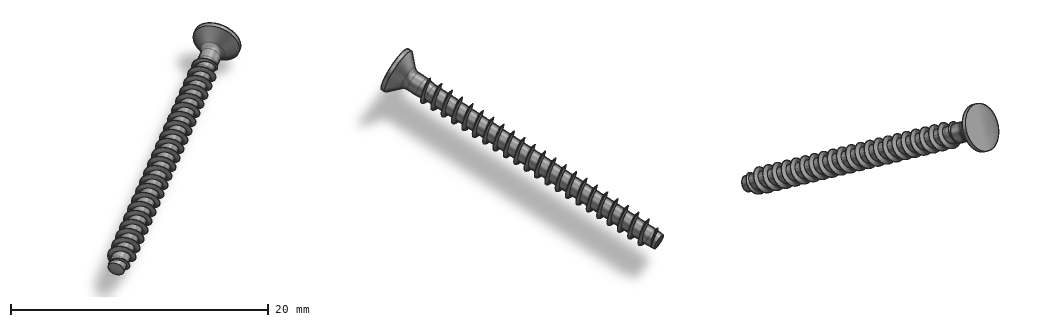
import cadquery as cq
import math

length = 25.0

head_radius = 1.9
head_rim_height = 0.35
cone_end_depth = 1.25
cone_angle = 45
shank_radius = 0.8
shank_end_depth = 2.52
cone_end_radius = head_radius - (cone_end_depth - head_rim_height) * math.tan(math.radians(cone_angle))
neck_fillet_radius = (cone_end_radius - shank_radius) / (1 - math.cos(math.radians(cone_angle)))
fillet_end_depth = cone_end_depth + neck_fillet_radius * math.sin(math.radians(cone_angle))

core_radius = 0.7
core_taper_length = 0.88
tip_radius = 0.65
tip_taper_length = 0.75

thread_radius = 1.08
crest_width = 0.02
root_width = 0.38
root_radius = 0.55
pitch_count = 20
pitch_count_length = 19.62
pitch = pitch_count_length / pitch_count
start_depth = 1.98
start_crest_radius = 0.68
end_crest_radius = 0.58
lead_in_turns = 1.3
full_turns = 21
run_out_turns = 1.2


def make_body():
    """Head, shank and tapered core as one turned profile around Y."""
    return (
        cq.Workplane("XY")
        .lineTo(head_radius, 0)
        .lineTo(head_radius, -head_rim_height)
        .lineTo(cone_end_radius, -cone_end_depth)
        .tangentArcPoint((shank_radius, -fillet_end_depth), relative=False)
        .lineTo(shank_radius, -shank_end_depth)
        .lineTo(core_radius, -shank_end_depth - core_taper_length)
        .lineTo(core_radius, -length + tip_taper_length)
        .lineTo(tip_radius, -length)
        .lineTo(0, -length)
        .close()
        .revolve(360, (0, 0), (0, 1))
    )


def make_helix(first_turn, turns, first_radius, last_radius, offset):
    """Helical edge around Z whose radius changes evenly over the given turns."""
    rise = turns * pitch
    if first_radius == last_radius:
        helix = cq.Wire.makeHelix(pitch, rise, first_radius)
    else:
        slope = math.atan2(last_radius - first_radius, rise)
        stretch = 1 / math.cos(slope)
        helix = cq.Wire.makeHelix(pitch * stretch, rise * stretch, first_radius, angle=math.degrees(slope))
    turned = helix.rotate(cq.Vector(0, 0, 0), cq.Vector(0, 0, 1), 360 * first_turn)
    return turned.translate(cq.Vector(0, 0, first_turn * pitch + offset))


def ridge_edges(first_turn, turns, start_crest, end_crest):
    """The four helical edges of one stretch of the trapezoidal ridge."""
    return [
        make_helix(first_turn, turns, root_radius, root_radius, -root_width / 2),
        make_helix(first_turn, turns, start_crest, end_crest, -crest_width / 2),
        make_helix(first_turn, turns, start_crest, end_crest, crest_width / 2),
        make_helix(first_turn, turns, root_radius, root_radius, root_width / 2),
    ]


def end_face(edges, position):
    """Flat face closing the ridge at the start (0) or end (1) of its edges."""
    corners = [edge.positionAt(position) for edge in edges]
    return cq.Face.makeFromWires(cq.Wire.makePolygon(corners, close=True))


def make_thread():
    """Ridge that rises out of the shank, runs at full height and sinks into the core at the tip."""
    stretches = [ridge_edges(0, lead_in_turns, start_crest_radius, thread_radius)]
    for turn in range(full_turns):
        stretches.append(ridge_edges(lead_in_turns + turn, 1, thread_radius, thread_radius))
    stretches.append(ridge_edges(lead_in_turns + full_turns, run_out_turns, thread_radius, end_crest_radius))
    faces = [end_face(stretches[0], 0), end_face(stretches[-1], 1)]
    for edges in stretches:
        for i in range(len(edges)):
            faces.append(cq.Face.makeRuledSurface(edges[i - 1], edges[i]))
    ridge = cq.Solid.makeSolid(cq.Shell.makeShell(faces))
    return (
        cq.Workplane(ridge)
        .rotate((0, 0, 0), (0, 0, 1), 90)
        .rotate((0, 0, 0), (1, 0, 0), 90)
        .translate((0, -start_depth, 0))
    )


def make_tip_trim():
    """Block beyond the tip face, used to cut the thread end flush."""
    size = 2 * head_radius
    return cq.Workplane("XY").box(size, size, size).translate((0, -length - size / 2, 0))


screw = make_body().union(make_thread()).cut(make_tip_trim())
result = cq.Workplane(screw.solids().val())